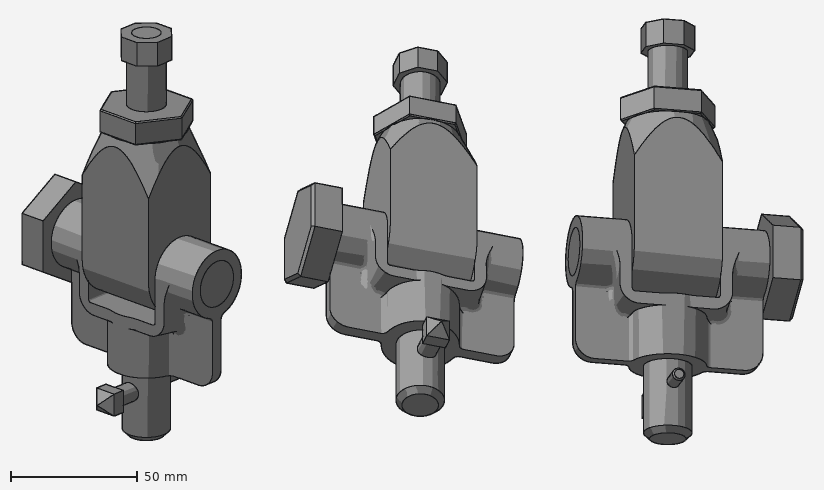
import cadquery as cq
import math


SQRT3 = math.sqrt(3)
tolerance = 0.02

boss_radius = 14.3
yoke_half_length = 38.2
strap_thickness = 5.0
strap_inner_radius = 1.4
strap_middle_radius = 2.5
strap_edge_radius = 8.0
strap_top = -19.5
web_thickness = 5.0
web_corner_radius = 7.7
hub_radius = 15.5
hub_bottom = -45.0
casting_fillet = 2.5
hub_lip_radius = 12.0

block_width = 36.0
block_top = 56.3
cone_top_radius = 16.7
cone_height = 20.1

bolt_head_flats = 38.0
bolt_head_height = 12.5
bolt_head_chamfer = 1.2
bolt_shank_radius = 9.6

spindle_top = 96.9
spindle_radius = 8.0
spindle_engagement = 16.0
spigot_radius = 5.9
lock_nut_flats = 33.4
lock_nut_height = 10.0
lock_nut_chamfer = 0.5
end_nut_flats = 20.0
end_nut_height = 10.2

stem_radius = 9.6
stem_bottom = -75.2
stem_chamfer = 2.4
lock_pin_height = -54.4
lock_pin_front_radius = 4.0
lock_pin_rear_radius = 2.5
lock_pin_rear_end = 19.1
lock_pin_rear_chamfer = 0.7
lock_pin_head_width = 9.5
lock_pin_head_back = -18.4
lock_pin_head_length = 5.3
lock_pin_tip = -28.5

half_block = block_width / 2
strap_half_length = half_block + strap_thickness
strap_bottom = strap_top - strap_thickness
lock_nut_top = block_top + lock_nut_height
end_nut_bottom = spindle_top - end_nut_height


def cylinder_x(radius, start, end):
    """Round bar along the pivot axis."""
    return cq.Workplane("YZ").workplane(offset=start).circle(radius).extrude(end - start)


def cylinder_y(radius, start, end):
    """Round bar along Y at the height of the locking pin."""
    plane = cq.Plane(origin=(0, start, lock_pin_height), xDir=(1, 0, 0), normal=(0, 1, 0))
    return cq.Workplane(plane).circle(radius).extrude(end - start)


def cylinder_z(radius, start, end):
    """Round bar along the vertical centre line."""
    return cq.Workplane("XY").workplane(offset=start).circle(radius).extrude(end - start)


def box_between(x_half, y_half, bottom, top):
    """Box centred on the vertical centre line."""
    height = top - bottom
    return cq.Workplane("XY").box(2 * x_half, 2 * y_half, height).translate((0, 0, bottom + height / 2))


def make_boss_cove():
    """Concave ring blending a boss into the side of the strap, kept to the strap's depth and lower half."""
    cove_outer_radius = boss_radius + casting_fillet
    cove_end = strap_half_length + casting_fillet
    arc_offset = casting_fillet * (1 - math.sqrt(0.5))
    ring = (
        cq.Workplane("XY")
        .moveTo(half_block, 0)
        .lineTo(cove_end, 0)
        .lineTo(cove_end, boss_radius)
        .threePointArc(
            (strap_half_length + arc_offset, boss_radius + arc_offset),
            (strap_half_length, cove_outer_radius),
        )
        .lineTo(half_block, cove_outer_radius)
        .close()
        .revolve(360, (0, 0, 0), (1, 0, 0))
    )
    return ring.intersect(box_between(cove_end, boss_radius, -cove_outer_radius, 0))


def strap_outline(depth, corner_radius):
    """Outline of the +X half of the strap at a given depth along Y, with a round outer corner."""
    arc_offset = corner_radius * (1 - math.sqrt(0.5))
    return (
        cq.Workplane("XZ", origin=(0, depth, 0))
        .moveTo(0, 0)
        .lineTo(strap_half_length, 0)
        .lineTo(strap_half_length, strap_bottom + corner_radius)
        .threePointArc(
            (strap_half_length - arc_offset, strap_bottom + arc_offset),
            (strap_half_length - corner_radius, strap_bottom),
        )
        .lineTo(0, strap_bottom)
        .close()
        .wire()
        .val()
    )


def make_web(top):
    web = box_between(yoke_half_length, web_thickness / 2, hub_bottom, top)
    return web.edges("|Y and <Z").fillet(web_corner_radius)


def make_strap_quarter():
    """Strap, boss and web on the +X and +Y side, blended along the face of the web."""
    middle = strap_outline(0, strap_middle_radius)
    edge = strap_outline(boss_radius, strap_edge_radius)
    strap = cq.Workplane(cq.Solid.makeLoft([middle, edge], True))
    boss = cylinder_x(boss_radius, 0, yoke_half_length).union(make_boss_cove())

    quadrant_size = 2 * yoke_half_length
    quadrant = cq.Workplane("XY").box(
        quadrant_size, quadrant_size, 2 * quadrant_size, centered=(False, False, True)
    )
    quarter = strap.union(boss.union(make_web(0)).intersect(quadrant))
    web_blend = cq.selectors.BoxSelector(
        (tolerance, web_thickness / 2 - tolerance, strap_bottom - tolerance),
        (yoke_half_length - tolerance, web_thickness / 2 + tolerance, -tolerance),
    )
    return quarter.edges(web_blend).fillet(casting_fillet)


def make_hub():
    """Hub up to the top of the strap, blended into the web below the strap."""
    lower_hub = make_web(strap_bottom).union(cylinder_z(hub_radius, hub_bottom, strap_bottom))
    web_blend = cq.selectors.BoxSelector(
        (-hub_radius, -hub_radius, hub_bottom + tolerance),
        (hub_radius, hub_radius, strap_bottom - tolerance),
    )
    lower_hub = lower_hub.edges(web_blend).edges("|Z").fillet(casting_fillet)
    return lower_hub.union(cylinder_z(hub_radius, strap_bottom, strap_top))


def make_hub_lips():
    """Slight bulges of the hub through the front and back of the strap, blended into it."""
    strap_middle = box_between(strap_half_length, boss_radius, strap_bottom, strap_top)
    bulging = strap_middle.union(cylinder_z(hub_radius, strap_bottom, strap_top))
    blend_edges = cq.selectors.BoxSelector(
        (-hub_radius, -hub_radius, strap_bottom + tolerance),
        (hub_radius, hub_radius, strap_top - tolerance),
    )
    lips = bulging.edges(blend_edges).edges("|Z").fillet(hub_lip_radius)
    return lips.intersect(box_between(hub_radius - casting_fillet, hub_radius, strap_bottom, strap_top))


def make_yoke():
    quarter = make_strap_quarter()
    half = quarter.union(quarter.mirror("YZ"))
    body = half.union(half.mirror("XZ")).union(make_hub()).union(make_hub_lips())

    opening = box_between(half_block, hub_radius, strap_top, boss_radius)
    opening = opening.edges("|Y and <Z").fillet(strap_inner_radius)
    bolt_hole = cylinder_x(bolt_shank_radius, -yoke_half_length, yoke_half_length)
    stem_hole = cylinder_z(stem_radius, hub_bottom, strap_bottom)
    return body.cut(opening).cut(bolt_hole).cut(stem_hole)


def make_block():
    bar = box_between(half_block, half_block, 0, block_top)
    cone_base_radius = half_block * math.sqrt(2)
    cone_base = block_top - cone_height
    cone_envelope = (
        cq.Workplane("XZ")
        .moveTo(0, 0)
        .lineTo(cone_base_radius, 0)
        .lineTo(cone_base_radius, cone_base)
        .lineTo(cone_top_radius, block_top)
        .lineTo(0, block_top)
        .close()
        .revolve(360, (0, 0, 0), (0, 1, 0))
    )
    rounded_end = cylinder_x(half_block, -half_block, half_block)
    bolt_hole = cylinder_x(bolt_shank_radius, -half_block, half_block)
    spindle_hole = cylinder_z(spindle_radius, block_top - spindle_engagement, block_top)
    return bar.intersect(cone_envelope).union(rounded_end).cut(bolt_hole).cut(spindle_hole)


def make_pivot_bolt():
    head = (
        cq.Workplane("YZ")
        .workplane(offset=-yoke_half_length - bolt_head_height)
        .polygon(6, 2 * bolt_head_flats / SQRT3)
        .extrude(bolt_head_height)
        .rotate((0, 0, 0), (1, 0, 0), 90)
        .faces("<X")
        .chamfer(bolt_head_chamfer)
    )
    return head.union(cylinder_x(bolt_shank_radius, -yoke_half_length, yoke_half_length))


def make_spindle():
    rod = cylinder_z(spindle_radius, block_top - spindle_engagement, end_nut_bottom)
    return rod.union(cylinder_z(spigot_radius, end_nut_bottom, spindle_top))


def make_lock_nut():
    nut = (
        cq.Workplane("XY")
        .workplane(offset=block_top)
        .polygon(6, 2 * lock_nut_flats / SQRT3)
        .extrude(lock_nut_height)
        .faces("<Z or >Z")
        .chamfer(lock_nut_chamfer)
    )
    return nut.cut(cylinder_z(spindle_radius, block_top, lock_nut_top))


def make_end_nut():
    half_side_angle = math.pi / 8
    nut = (
        cq.Workplane("XY")
        .workplane(offset=end_nut_bottom)
        .polygon(8, end_nut_flats / math.cos(half_side_angle))
        .extrude(end_nut_height)
        .rotate((0, 0, 0), (0, 0, 1), math.degrees(half_side_angle))
    )
    return nut.cut(cylinder_z(spigot_radius, end_nut_bottom, spindle_top))


def make_lock_pin_shank():
    """Stepped round pin: thick in front of the stem axis, thin behind it."""
    thick = cylinder_y(lock_pin_front_radius, lock_pin_head_back, 0)
    thin = cylinder_y(lock_pin_rear_radius, 0, lock_pin_rear_end)
    return thick.union(thin.faces(">Y").chamfer(lock_pin_rear_chamfer))


def make_pointed_bar():
    """Bar along Z whose section in the XY plane is the side outline of the locking pin's pointed head."""
    half_width = lock_pin_head_width / 2
    tip_base = lock_pin_head_back - lock_pin_head_length
    return (
        cq.Workplane("XY")
        .moveTo(-half_width, lock_pin_head_back)
        .lineTo(half_width, lock_pin_head_back)
        .lineTo(half_width, tip_base)
        .lineTo(0, lock_pin_tip)
        .lineTo(-half_width, tip_base)
        .close()
        .extrude(half_width, both=True)
    )


def make_lock_pin():
    """Shank with a square head that ends in a pyramid, where two crossed pointed bars overlap."""
    bar = make_pointed_bar()
    head = bar.intersect(bar.rotate((0, 0, 0), (0, 1, 0), 90)).translate((0, 0, lock_pin_height))
    return make_lock_pin_shank().union(head)


def make_stem():
    stem = cylinder_z(stem_radius, stem_bottom, strap_bottom).faces("<Z").chamfer(stem_chamfer)
    return stem.cut(make_lock_pin_shank())


yoke = make_yoke()
block = make_block()
pivot_bolt = make_pivot_bolt()
lock_nut = make_lock_nut()
spindle = make_spindle()
end_nut = make_end_nut()
stem = make_stem()
lock_pin = make_lock_pin()

result = cq.Compound.makeCompound([
    yoke.val(),
    block.val(),
    pivot_bolt.val(),
    lock_nut.val(),
    spindle.val(),
    end_nut.val(),
    stem.val(),
    lock_pin.val(),
])